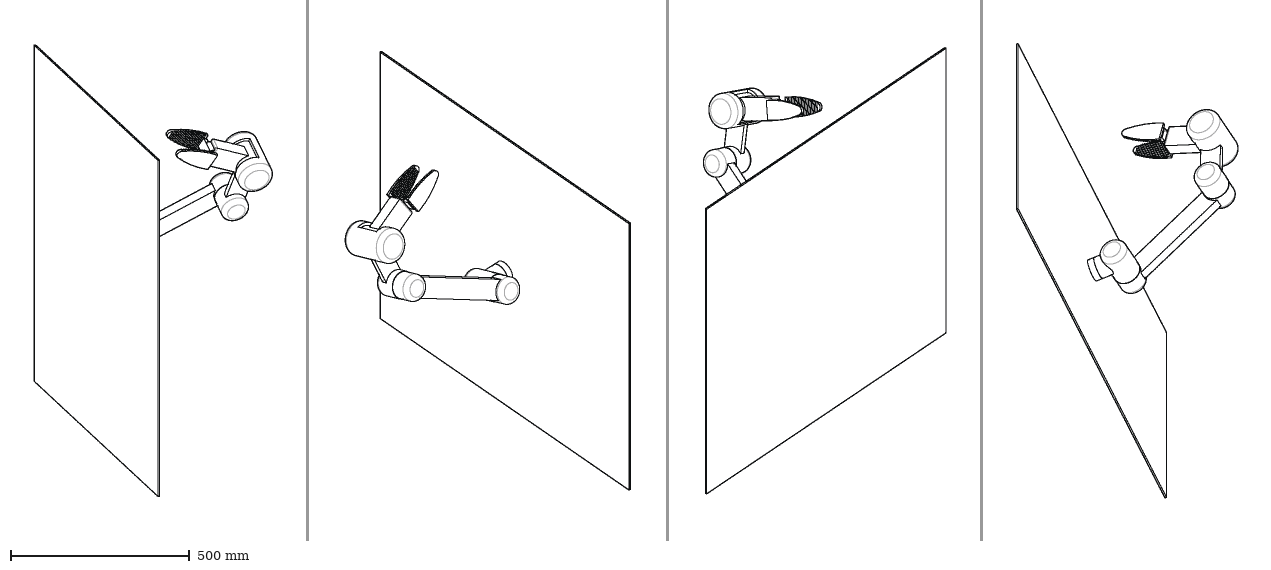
import cadquery as cq
import math

roll_angle = 22.5

plate_side = 1000.0
plate_thickness = 5.0
column_radius = 32.0
socket_top = 24.0

shoulder_y = 86.0
upper_arm_length = 348.0
upper_arm_angle = 29.4
forearm_length = 150.0
forearm_angle = 79.3
hand_angle = 156.0


def joint_after(joint, length, angle):
    """Centre of the next joint, as (Y, Z)."""
    radians = math.radians(angle)
    return (joint[0] + length * math.cos(radians), joint[1] + length * math.sin(radians))


shoulder_joint = (shoulder_y, 0.0)
elbow_joint = joint_after(shoulder_joint, upper_arm_length, upper_arm_angle)
wrist_joint = joint_after(elbow_joint, forearm_length, forearm_angle)

rim_fillet = 14.0
upper_arm_drum_radius = 39.0
driven_drum_radius = 40.0
wrist_radius = 50.0
drum_left = -119.0
drum_split = -60.0
shoulder_right = 50.0
elbow_right = 14.0
wrist_left = -108.0
wrist_right = 50.0

upper_arm_across = 30.0
upper_arm_width = 60.0
upper_arm_x = -84.0
forearm_across = 16.0
forearm_width = 60.0
forearm_x = -25.0
hand_across = 40.0
hand_x = -30.0
hand_width = 65.0
hand_bar_end = 137.0
hand_bar_fillet = 5.0

slot_width = 80.0
hub_radius = 41.0
slot_back_offset = 4.0

mount_end = 148.0
mount_width = 32.0
neck_width = 55.0
neck_across = 36.0

finger_start = 140.0
finger_length = 123.0
finger_base_width = 55.0
finger_tip_width = 24.0
finger_middle_width = 52.0
tip_round = 8.0
finger_across = 9.0
finger_spacing = 84.0
tooth_pitch = 5.0
tooth_depth = 3.0
mount_across = finger_spacing - finger_across


def rolled(body):
    return body.rotate((0, 0, 0), (0, 1, 0), roll_angle)


def placed_on_link(body, joint, angle):
    """Moves a body built along +Y from the origin onto the link that starts at a joint."""
    return body.rotate((0, 0, 0), (1, 0, 0), angle).translate((0, joint[0], joint[1]))


def bar(x_centre, across, width, start, end):
    """Rectangular bar along +Y."""
    return cq.Workplane("XY").box(across, end - start, width).translate((x_centre, (start + end) / 2, 0))


def drum(joint, left, right, radius):
    return cq.Workplane("YZ", origin=(left, *joint)).circle(radius).extrude(right - left)


def column(start, end):
    return cq.Workplane("XZ", origin=(0, start, 0)).circle(column_radius).extrude(start - end)


def make_wall_plate():
    plate = cq.Workplane("XY").box(plate_side, plate_thickness, plate_side)
    plate = plate.translate((0, plate_thickness / 2, 0))
    return plate.union(column(0, socket_top))


def make_shoulder():
    shoulder = drum(shoulder_joint, drum_split, shoulder_right, driven_drum_radius)
    shoulder = shoulder.faces(">X").edges().fillet(rim_fillet)
    return rolled(shoulder.union(column(socket_top, shoulder_y)))


def make_upper_arm():
    arm = bar(upper_arm_x, upper_arm_across, upper_arm_width, 0, upper_arm_length)
    arm = placed_on_link(arm, shoulder_joint, upper_arm_angle)
    for joint in (shoulder_joint, elbow_joint):
        end_drum = drum(joint, drum_left, drum_split, upper_arm_drum_radius)
        arm = arm.union(end_drum.faces("<X").edges().fillet(rim_fillet))
    return rolled(arm)


def make_wrist_slot():
    """Space for the hub: open towards the hand, closed behind by a plane along the forearm
    and below by a plane along the hand."""
    size = 4 * wrist_radius
    front = bar(hand_x, slot_width, size, -size, size).translate((0, 0, size / 2 - slot_back_offset))
    front = placed_on_link(front, wrist_joint, forearm_angle)
    above = bar(hand_x, slot_width, size, -size, size).translate((0, 0, hub_radius - size / 2))
    above = placed_on_link(above, wrist_joint, hand_angle)
    return front.intersect(above)


def make_forearm():
    elbow = drum(elbow_joint, drum_split, elbow_right, driven_drum_radius)
    elbow = elbow.faces(">X").edges().fillet(rim_fillet)
    wrist = drum(wrist_joint, wrist_left, wrist_right, wrist_radius).edges().fillet(rim_fillet)
    link = bar(forearm_x, forearm_across, forearm_width, 0, forearm_length)
    link = placed_on_link(link, elbow_joint, forearm_angle)
    return rolled(elbow.union(link).union(wrist).cut(make_wrist_slot()))


def make_hand():
    hub = drum(wrist_joint, hand_x - slot_width / 2, hand_x + slot_width / 2, hub_radius)
    hub = hub.intersect(make_wrist_slot())
    link = bar(hand_x, hand_across, hand_width, hub_radius / 2, hand_bar_end)
    link = link.faces(">Y").edges().fillet(hand_bar_fillet)
    neck_start = hand_bar_end - hand_bar_fillet
    neck = (
        cq.Workplane("YZ", origin=(hand_x, 0, 0))
        .polyline(
            [
                (neck_start, -neck_width / 2),
                (mount_end, -mount_width / 2),
                (mount_end, mount_width / 2),
                (neck_start, neck_width / 2),
            ]
        )
        .close()
        .extrude(neck_across / 2, both=True)
    )
    mount = bar(hand_x, mount_across, mount_width, hand_bar_end, mount_end)
    gripper_end = link.union(neck).union(mount)
    return rolled(hub.union(placed_on_link(gripper_end, wrist_joint, hand_angle)))


def finger_blade():
    half_base = finger_base_width / 2
    half_middle = finger_middle_width / 2
    half_tip = finger_tip_width / 2
    tip = finger_start + finger_length
    round_start = tip - tip_round
    middle = (finger_start + round_start) / 2
    return (
        cq.Workplane("YZ")
        .moveTo(finger_start, -half_base)
        .threePointArc((middle, -half_middle), (round_start, -half_tip))
        .threePointArc((tip, 0), (round_start, half_tip))
        .threePointArc((middle, half_middle), (finger_start, half_base))
        .close()
        .extrude(finger_across / 2, both=True)
    )


def tooth_gaps(side):
    """V grooves across the gripping face, from the mount to the finger tip."""
    face_x = -side * finger_across / 2
    root_x = face_x + side * tooth_depth
    end = finger_start + finger_length - tip_round
    count = int((end - mount_end) / tooth_pitch)
    outline = cq.Workplane("XY", origin=(0, 0, -finger_base_width)).moveTo(face_x, mount_end)
    for tooth in range(count):
        start = mount_end + tooth * tooth_pitch
        outline = outline.lineTo(root_x, start + tooth_pitch / 2).lineTo(face_x, start + tooth_pitch)
    outer_x = face_x - side * tooth_depth
    outline = outline.lineTo(outer_x, mount_end + count * tooth_pitch).lineTo(outer_x, mount_end)
    return outline.close().extrude(2 * finger_base_width)


def make_finger(side):
    """One finger, to the left (side -1) or right (side 1) of the hand."""
    finger = finger_blade().cut(tooth_gaps(side)).translate((hand_x + side * finger_spacing / 2, 0, 0))
    return rolled(placed_on_link(finger, wrist_joint, hand_angle))


wall_plate = make_wall_plate()
shoulder = make_shoulder()
upper_arm = make_upper_arm()
forearm = make_forearm()
hand = make_hand()
fingers = [make_finger(side) for side in (-1, 1)]

result = cq.Compound.makeCompound(
    [
        wall_plate.val(),
        shoulder.val(),
        upper_arm.val(),
        forearm.val(),
        hand.val(),
        *[finger.val() for finger in fingers],
    ]
)